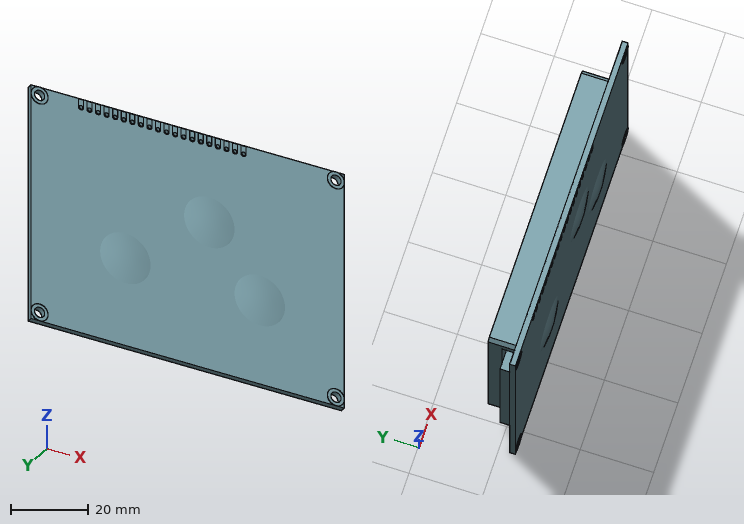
import cadquery as cq

board_length = 93.0
board_height = 70.0
board_thickness = 1.6

mount_hole_diameter = 3.0
mount_pad_diameter = 5.0
pad_thickness = 0.1
mount_x = (board_length - mount_pad_diameter) / 2
mount_z = (board_height - mount_pad_diameter) / 2

terminal_count = 20
terminal_row_length = 48.3
terminal_pitch = terminal_row_length / (terminal_count - 1)
terminal_first_x = -31.7
terminal_hole_diameter = 1.0
terminal_pad_width = 1.5
terminal_edge_gap = 0.2
terminal_z = mount_z

dome_diameter = 15.0
dome_height = 0.9
dome_centers = [(6.5, 9.0), (-18.4, -8.9), (21.5, -10.0)]

bezel_length = 78.0
bezel_height = 51.0
bezel_depth = 8.4
bezel_corner_chamfer = 1.0
bezel_front_radius = 0.3

backlight_height = 42.3
backlight_depth = 3.4
backlight_clearance = 1.1
backlight_left_x = -44.0
bezel_end_wall = 1.1
recess_end_x = bezel_length / 2 - bezel_end_wall


def box_on_board(left_x, right_x, height, depth):
    """Box standing on the front face of the board (y = 0), centred in Z."""
    return (
        cq.Workplane("XY")
        .box(right_x - left_x, depth, height, centered=(False, False, True))
        .translate((left_x, 0, 0))
    )


def rear_cylinder(x, z, diameter, front_y, length):
    """Cylinder whose axis runs along -Y, starting at front_y."""
    return cq.Workplane("XZ", origin=(x, front_y, z)).circle(diameter / 2).extrude(length)


def make_terminal_pad(x):
    """Raised strip from just below the board edge down to a rounded end around its hole."""
    strip_height = board_height / 2 - terminal_edge_gap - terminal_z
    strip = (
        cq.Workplane("XZ", origin=(x, -board_thickness, terminal_z + strip_height / 2))
        .rect(terminal_pad_width, strip_height)
        .extrude(pad_thickness)
    )
    rounded_end = rear_cylinder(x, terminal_z, terminal_pad_width, -board_thickness, pad_thickness)
    return strip.union(rounded_end)


def make_dome(x, z):
    """Spherical cap raised on the rear face."""
    chord_radius = dome_diameter / 2
    sphere_radius = (chord_radius**2 + dome_height**2) / (2 * dome_height)
    sphere_y = sphere_radius - dome_height - board_thickness
    sphere = cq.Workplane("XY").sphere(sphere_radius).translate((x, sphere_y, z))
    return sphere.intersect(rear_cylinder(x, z, dome_diameter, -board_thickness, dome_height))


def make_board():
    board = (
        cq.Workplane("XZ")
        .rect(board_length, board_height)
        .extrude(board_thickness)
    )
    through_length = board_thickness + pad_thickness
    mount_points = [(sx * mount_x, sz * mount_z) for sx in (-1, 1) for sz in (-1, 1)]
    terminal_xs = [terminal_first_x + i * terminal_pitch for i in range(terminal_count)]

    for x, z in mount_points:
        board = board.union(rear_cylinder(x, z, mount_pad_diameter, -board_thickness, pad_thickness))
    for x in terminal_xs:
        board = board.union(make_terminal_pad(x))
    for x, z in dome_centers:
        board = board.union(make_dome(x, z))

    for x, z in mount_points:
        board = board.cut(rear_cylinder(x, z, mount_hole_diameter, 0, through_length))
    for x in terminal_xs:
        board = board.cut(rear_cylinder(x, terminal_z, terminal_hole_diameter, 0, through_length))
    return board


def make_bezel():
    bezel = box_on_board(-bezel_length / 2, bezel_length / 2, bezel_height, bezel_depth)
    bezel = bezel.edges("|Y").chamfer(bezel_corner_chamfer)
    bezel = bezel.faces(">Y").edges().fillet(bezel_front_radius)
    recess = box_on_board(
        -bezel_length / 2,
        recess_end_x,
        backlight_height + 2 * backlight_clearance,
        backlight_depth + backlight_clearance,
    )
    return bezel.cut(recess)


def make_backlight():
    return box_on_board(backlight_left_x, recess_end_x, backlight_height, backlight_depth)


board = make_board()
bezel = make_bezel()
backlight = make_backlight()

result = cq.Compound.makeCompound([board.val(), bezel.val(), backlight.val()])